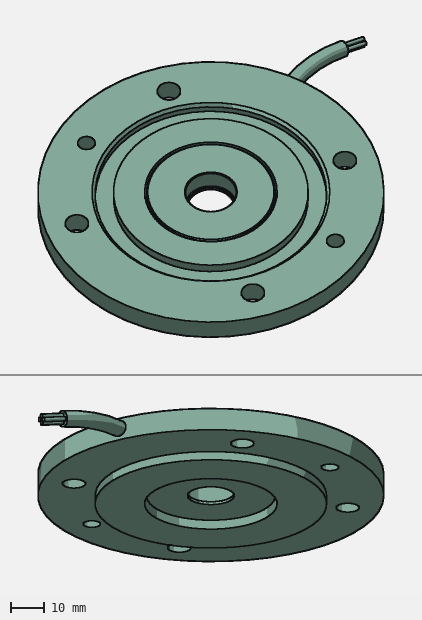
import cadquery as cq
import math

FLANGE_DIAMETER = 104.7
FLANGE_THICKNESS = 7.0
HUB_DIAMETER = 70.0
HUB_BOTTOM = 9.7

RECESS_OUTER_DIAMETER = 70.0
RECESS_INNER_DIAMETER = 58.9
RECESS_DEPTH = 3.0
RECESS_CHAMFER = 1.0

BOLT_CIRCLE_DIAMETER = 85.0
MOUNTING_HOLE_DIAMETER = 7.0
DOWEL_HOLE_DIAMETER = 5.2
MOUNTING_HOLE_ANGLES = (45, 135, 225, 315)
DOWEL_HOLE_ANGLES = (0, 180)

OPENING_DIAMETER = 40.0
RING_GAP = 0.5
RING_DIAMETER = OPENING_DIAMETER - 2 * RING_GAP
RING_THICKNESS = FLANGE_THICKNESS
RING_OUTER_CHAMFER = 0.4
RING_BORE_DIAMETER = 15.3
RING_BORE_CHAMFER = 0.3
RING_LIP_DIAMETER = 14.1
RING_LIP_THICKNESS = 1.0

CABLE_DIAMETER = 5.0
CABLE_START_Y = 48.7
CABLE_AXIS_DEPTH = 3.2
CABLE_BEND_RADIUS = 52.1
CABLE_BEND_ANGLE = 30
CABLE_LEAN_ANGLE = 29
WIRE_DIAMETER = 1.3
WIRE_SPACING = 1.5
WIRE_LENGTH = 7.7
WIRE_EMBED = 1.3


def disc(diameter, top, height):
    """Vertical cylinder on the Z axis, reaching down from the given top height."""
    return cq.Workplane("XY").workplane(offset=top).circle(diameter / 2).extrude(-height)


def hole_pattern(diameter, angles):
    """Through-flange cutters at the given angles on the bolt circle."""
    radius = BOLT_CIRCLE_DIAMETER / 2
    centres = [
        (radius * math.cos(math.radians(a)), radius * math.sin(math.radians(a)))
        for a in angles
    ]
    return cq.Workplane("XY").pushPoints(centres).circle(diameter / 2).extrude(-FLANGE_THICKNESS)


def recess_cutter():
    outer = disc(RECESS_OUTER_DIAMETER, 0, RECESS_DEPTH)
    rim = cq.Workplane("XY").add(
        cq.Solid.makeCone(
            RECESS_OUTER_DIAMETER / 2,
            RECESS_OUTER_DIAMETER / 2 + RECESS_CHAMFER,
            RECESS_CHAMFER,
            cq.Vector(0, 0, -RECESS_CHAMFER),
        )
    )
    return outer.union(rim).cut(disc(RECESS_INNER_DIAMETER, 0, RECESS_DEPTH))


def make_cable():
    """Bent jacket and four bare wires, joined into one solid."""
    start = cq.Vector(0, CABLE_START_Y, -CABLE_AXIS_DEPTH)
    along = cq.Vector(0, 1, 0)
    lean = math.radians(CABLE_LEAN_ANGLE)
    sideways = cq.Vector(math.cos(lean), 0, -math.sin(lean))

    def bend_point(angle):
        forward = CABLE_BEND_RADIUS * math.sin(angle)
        drift = CABLE_BEND_RADIUS * (1 - math.cos(angle))
        return start + along * forward + sideways * drift

    bend = math.radians(CABLE_BEND_ANGLE)
    end = bend_point(bend)
    direction = along * math.cos(bend) + sideways * math.sin(bend)
    path = cq.Workplane("XY").add(cq.Edge.makeThreePointArc(start, bend_point(bend / 2), end))
    start_plane = cq.Plane(origin=start, xDir=sideways, normal=along)
    cable = cq.Workplane(start_plane).circle(CABLE_DIAMETER / 2).sweep(path.toPending())

    across = along * -math.sin(bend) + sideways * math.cos(bend)
    wire_plane = cq.Plane(origin=end - direction * WIRE_EMBED, xDir=across, normal=direction)
    wires = (
        cq.Workplane(wire_plane)
        .rarray(WIRE_SPACING, WIRE_SPACING, 2, 2)
        .circle(WIRE_DIAMETER / 2)
        .extrude(WIRE_EMBED + WIRE_LENGTH)
    )
    return cable.union(wires)


def make_housing():
    """Flange, hub and the cable fixed in the flange rim."""
    body = disc(FLANGE_DIAMETER, 0, FLANGE_THICKNESS).union(disc(HUB_DIAMETER, 0, HUB_BOTTOM))
    body = body.cut(recess_cutter())
    body = body.cut(disc(OPENING_DIAMETER, 0, HUB_BOTTOM))
    body = body.union(make_cable())
    body = body.cut(hole_pattern(MOUNTING_HOLE_DIAMETER, MOUNTING_HOLE_ANGLES))
    return body.cut(hole_pattern(DOWEL_HOLE_DIAMETER, DOWEL_HOLE_ANGLES))


def make_inner_ring():
    """Ring with chamfered top edges and a stepped bore that leaves a thin lip at the bottom."""
    ring = disc(RING_DIAMETER, 0, RING_THICKNESS).faces(">Z").edges().chamfer(RING_OUTER_CHAMFER)
    ring = ring.cut(disc(RING_BORE_DIAMETER, 0, RING_THICKNESS - RING_LIP_THICKNESS))
    bore_rim = cq.selectors.RadiusNthSelector(0)
    ring = ring.faces(">Z").edges(bore_rim).chamfer(RING_BORE_CHAMFER)
    return ring.cut(disc(RING_LIP_DIAMETER, 0, RING_THICKNESS))


housing = make_housing()
inner_ring = make_inner_ring()

result = cq.Compound.makeCompound([housing.val(), inner_ring.val()])